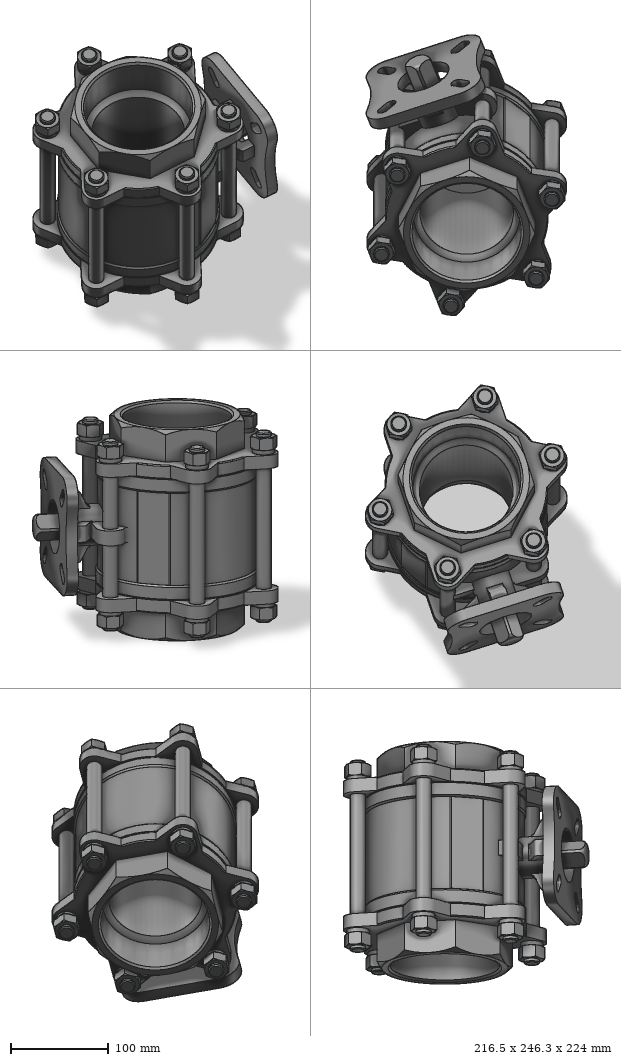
import cadquery as cq
import math


BODY_RADIUS = 82.0
COLLAR_RADIUS = 83.7
COLLAR_BEVEL_START = 50.7
COLLAR_BEVEL_END = 48.7
GROOVE_WIDTH = 1.2
GROOVE_DEPTH = 1.0
PAD_DISTANCE = 81.2
PAD_WIDTH = 33.5
PAD_DEPTH = 5.0
PAD_ANGLES = (30, 150)

HALF_LENGTH = 112.0
FLANGE_INNER = 64.8
FLANGE_OUTER = 78.8
FLANGE_BEVEL = 1.2
OCTAGON_FLATS = 130.0
OCTAGON_BEVEL_RADIUS = 65.0
OCTAGON_BEVEL_DROP = 4.5
BORE_RADIUS = 96.0 / 2
SOCKET_RADIUS = 54.7
SOCKET_MOUTH_RADIUS = 56.1
SOCKET_DEPTH = 39.5
SOCKET_SEAT_HEIGHT = 5.0
SOCKET_BEVEL = 2.2

ROD_COUNT = 6
ROD_CIRCLE_RADIUS = 186.5 / 2
ROD_RADIUS = 16.0 / 2
ROD_HALF_LENGTH = 100.5
ROD_BEVEL = 1.2
LUG_RADIUS = 15.0
LUG_FLANK_ANGLE = 30
LUG_ROOT_DISTANCE = 65.5
WASHER_RADIUS = 23.5 / 2
NUT_INNER = 83.2
NUT_OUTER = 96.5
NUT_FLATS = 24.1
NUT_BEVEL_DROP = 1.0

NECK_RADIUS = 21.5
NECK_TOP = 108.8
EAR_THICKNESS = 15.8
EAR_ROOT_FILLET = 1.5
EAR_BOTTOM = 67.7
SHORT_EAR_TOP = 87.5

PLATE_HALF_SIZE = 62.8
PLATE_BOTTOM = 118.0
PLATE_TOP = 130.0
PLATE_CORNER_RADIUS = 22.7
PLATE_WAIST_ANGLE = 14.5
PLATE_HOLE_RADIUS = 56.0 / 2
SLOT_WIDTH = 11.8
SLOT_INNER_RADIUS = 51.0
SLOT_OUTER_RADIUS = 62.5
LEG_WIDTH = 17.2
LEG_OUTER = 37.2
LEG_INNER = 26.3
LEG_INNER_FILLET = 2.0
LEG_HEEL = 104.1
LEG_ROOT = 95.8
LEG_ROOT_STEP = 2.0
LEG_OUTER_FILLET = 2.5

STEM_RADIUS = 14.0
STEM_FLATS = 22.0
STEM_TOP = 150.5
STEM_TIP_FILLET = 5.5


def polar(radius, degrees):
    angle = math.radians(degrees)
    return radius * math.cos(angle), radius * math.sin(angle)


def cylinder_z(radius, z_from, z_to):
    return cq.Workplane("XY").workplane(offset=z_from).circle(radius).extrude(z_to - z_from)


def revolve_z(profile):
    """Turn a closed (radius, z) profile about the Z axis."""
    return cq.Workplane("XZ").polyline(profile).close().revolve(360, (0, 0, 0), (0, 1, 0))


def along_y(y_from):
    """Sketch plane across the stem axis at the given Y, extruding toward +Y."""
    return cq.Workplane("ZX", origin=(0, y_from, 0)).transformed(rotate=(0, 0, 90))


def mirrored_pair(upper):
    return upper.union(upper.mirror("XY"))


def rod_positions():
    return [polar(ROD_CIRCLE_RADIUS, 360 / ROD_COUNT * i) for i in range(ROD_COUNT)]


def make_body():
    groove_radius = COLLAR_RADIUS - GROOVE_DEPTH
    collar_top = FLANGE_INNER - GROOVE_WIDTH
    body = mirrored_pair(revolve_z([
        (0, 0),
        (BODY_RADIUS, 0),
        (BODY_RADIUS, COLLAR_BEVEL_END),
        (COLLAR_RADIUS, COLLAR_BEVEL_START),
        (COLLAR_RADIUS, collar_top),
        (groove_radius, collar_top),
        (groove_radius, FLANGE_INNER),
        (0, FLANGE_INNER),
    ]))
    half_width = PAD_WIDTH / 2
    base_distance = PAD_DISTANCE - PAD_DEPTH
    sketch_plane = cq.Workplane("XY").workplane(offset=-COLLAR_BEVEL_END)
    raised = (
        sketch_plane
        .moveTo(base_distance, -half_width - PAD_DEPTH)
        .lineTo(PAD_DISTANCE, -half_width)
        .lineTo(PAD_DISTANCE, half_width)
        .lineTo(base_distance, half_width + PAD_DEPTH)
        .close()
        .extrude(2 * COLLAR_BEVEL_END)
    )
    removed = (
        sketch_plane.center(PAD_DISTANCE + PAD_DEPTH / 2, 0)
        .rect(PAD_DEPTH, PAD_WIDTH)
        .extrude(2 * COLLAR_BEVEL_END)
    )
    for angle in PAD_ANGLES:
        body = body.union(raised.rotate((0, 0, 0), (0, 0, 1), angle))
        body = body.cut(removed.rotate((0, 0, 0), (0, 0, 1), angle))
    return body


def make_lug():
    """Lug on the +X side: round tip with two straight flanks running into the flange."""
    tip_x, tip_y = polar(LUG_RADIUS, 90 - LUG_FLANK_ANGLE)
    tip_x += ROD_CIRCLE_RADIUS
    root_x = LUG_ROOT_DISTANCE
    root_y = tip_y + (tip_x - root_x) * math.tan(math.radians(LUG_FLANK_ANGLE))
    return (
        cq.Workplane("XY").workplane(offset=FLANGE_INNER)
        .moveTo(root_x, -root_y)
        .lineTo(tip_x, -tip_y)
        .threePointArc((ROD_CIRCLE_RADIUS + LUG_RADIUS, 0), (tip_x, tip_y))
        .lineTo(root_x, root_y)
        .lineTo(0, 0)
        .close()
        .extrude(FLANGE_OUTER - FLANGE_INNER)
    )


def make_end_piece():
    flange = cylinder_z(COLLAR_RADIUS, FLANGE_INNER, FLANGE_OUTER).faces(">Z").chamfer(FLANGE_BEVEL)
    lug = make_lug()
    for i in range(ROD_COUNT):
        flange = flange.union(lug.rotate((0, 0, 0), (0, 0, 1), 360 / ROD_COUNT * i))

    corner_radius = OCTAGON_FLATS / 2 / math.cos(math.pi / 8)
    octagon = (
        cq.Workplane("XY").workplane(offset=FLANGE_INNER)
        .transformed(rotate=(0, 0, 22.5))
        .polygon(8, 2 * corner_radius)
        .extrude(HALF_LENGTH - FLANGE_INNER)
    )
    bevel_limit = revolve_z([
        (0, FLANGE_INNER),
        (corner_radius, FLANGE_INNER),
        (corner_radius, HALF_LENGTH - OCTAGON_BEVEL_DROP),
        (OCTAGON_BEVEL_RADIUS, HALF_LENGTH),
        (0, HALF_LENGTH),
    ])
    return flange.union(octagon.intersect(bevel_limit))


def make_socket():
    """Tapered pipe socket with a bevelled mouth and a conical seat down to the bore."""
    return revolve_z([
        (0, HALF_LENGTH - SOCKET_DEPTH - SOCKET_SEAT_HEIGHT),
        (BORE_RADIUS, HALF_LENGTH - SOCKET_DEPTH - SOCKET_SEAT_HEIGHT),
        (SOCKET_RADIUS, HALF_LENGTH - SOCKET_DEPTH),
        (SOCKET_MOUTH_RADIUS, HALF_LENGTH - SOCKET_BEVEL),
        (SOCKET_MOUTH_RADIUS + SOCKET_BEVEL, HALF_LENGTH),
        (0, HALF_LENGTH),
    ])


def make_nut():
    flat_radius = NUT_FLATS / 2
    corner_radius = flat_radius / math.cos(math.pi / 6)
    hexagon = (
        cq.Workplane("XY").workplane(offset=NUT_INNER)
        .transformed(rotate=(0, 0, 30))
        .polygon(6, 2 * corner_radius)
        .extrude(NUT_OUTER - NUT_INNER)
    )
    bevel_limit = revolve_z([
        (0, NUT_INNER),
        (flat_radius, NUT_INNER),
        (corner_radius, NUT_INNER + NUT_BEVEL_DROP),
        (corner_radius, NUT_OUTER - NUT_BEVEL_DROP),
        (flat_radius, NUT_OUTER),
        (0, NUT_OUTER),
    ])
    washer = cylinder_z(WASHER_RADIUS, FLANGE_OUTER, NUT_INNER)
    return hexagon.intersect(bevel_limit).union(washer)


def make_tie_rod():
    rod = cylinder_z(ROD_RADIUS, -ROD_HALF_LENGTH, ROD_HALF_LENGTH).faces("<Z or >Z").chamfer(ROD_BEVEL)
    return rod.union(mirrored_pair(make_nut()))


def make_neck():
    return along_y(0).circle(NECK_RADIUS).extrude(NECK_TOP)


def make_ears():
    """Full ear around the rod on the -X side, shorter one reaching the rod on the +X side."""
    rod_x, rod_y = polar(ROD_CIRCLE_RADIUS, 60)
    sketch_plane = cq.Workplane("XY").workplane(offset=-EAR_THICKNESS / 2)
    ring = sketch_plane.center(-rod_x, rod_y).circle(LUG_RADIUS).extrude(EAR_THICKNESS)
    full_arm = (
        cq.Workplane("XY").workplane(offset=-EAR_THICKNESS / 2)
        .moveTo(0, EAR_BOTTOM)
        .lineTo(-rod_x, EAR_BOTTOM)
        .lineTo(-rod_x, rod_y + LUG_RADIUS)
        .lineTo(0, rod_y + LUG_RADIUS)
        .close()
        .extrude(EAR_THICKNESS)
    )
    short_ear = (
        cq.Workplane("XY").workplane(offset=-EAR_THICKNESS / 2)
        .moveTo(0, EAR_BOTTOM)
        .lineTo(rod_x, EAR_BOTTOM)
        .lineTo(rod_x, SHORT_EAR_TOP)
        .lineTo(0, SHORT_EAR_TOP)
        .close()
        .extrude(EAR_THICKNESS)
    )
    return ring.union(full_arm).union(short_ear)


def fillet_ear_root(housing):
    """Round the corner where the underside of the full ear's ring meets the body."""
    cosine = (BODY_RADIUS**2 + ROD_CIRCLE_RADIUS**2 - LUG_RADIUS**2) / (2 * BODY_RADIUS * ROD_CIRCLE_RADIUS)
    root_x, root_y = polar(BODY_RADIUS, 120 + math.degrees(math.acos(cosine)))
    root_edge = cq.NearestToPointSelector((root_x, root_y, 0))
    return housing.edges("|Z").edges(root_edge).fillet(EAR_ROOT_FILLET)


def make_plate():
    corner_centre = PLATE_HALF_SIZE - PLATE_CORNER_RADIUS
    dx, dz = polar(PLATE_CORNER_RADIUS, -PLATE_WAIST_ANGLE)
    diagonal = PLATE_CORNER_RADIUS * math.sqrt(0.5)
    side_x = corner_centre + dx
    side_z = corner_centre + dz
    centre_distance = corner_centre / math.sin(math.radians(PLATE_WAIST_ANGLE))
    waist_radius = centre_distance - PLATE_CORNER_RADIUS
    waist_x = corner_centre + centre_distance * math.cos(math.radians(PLATE_WAIST_ANGLE)) - waist_radius
    arc_mid = corner_centre + diagonal
    thickness = PLATE_TOP - PLATE_BOTTOM

    plate = (
        along_y(PLATE_BOTTOM)
        .moveTo(-corner_centre, PLATE_HALF_SIZE)
        .lineTo(corner_centre, PLATE_HALF_SIZE)
        .threePointArc((arc_mid, arc_mid), (side_x, side_z))
        .threePointArc((waist_x, 0), (side_x, -side_z))
        .threePointArc((arc_mid, -arc_mid), (corner_centre, -PLATE_HALF_SIZE))
        .lineTo(-corner_centre, -PLATE_HALF_SIZE)
        .threePointArc((-arc_mid, -arc_mid), (-side_x, -side_z))
        .threePointArc((-waist_x, 0), (-side_x, side_z))
        .threePointArc((-arc_mid, arc_mid), (-corner_centre, PLATE_HALF_SIZE))
        .close()
        .extrude(thickness)
    )
    plate = plate.cut(along_y(PLATE_BOTTOM).circle(PLATE_HOLE_RADIUS).extrude(thickness))
    slot = (
        along_y(PLATE_BOTTOM)
        .center((SLOT_INNER_RADIUS + SLOT_OUTER_RADIUS) / 2, 0)
        .slot2D(SLOT_OUTER_RADIUS - SLOT_INNER_RADIUS + SLOT_WIDTH, SLOT_WIDTH)
        .extrude(thickness)
    )
    for angle in (45, 135, 225, 315):
        plate = plate.cut(slot.rotate((0, 0, 0), (0, 1, 0), angle))
    return plate


def make_legs():
    """Four angled legs joining the neck to the mounting plate."""
    leg = (
        cq.Workplane("XY").workplane(offset=-LEG_WIDTH / 2)
        .moveTo(0, LEG_ROOT - LEG_ROOT_STEP)
        .lineTo(NECK_RADIUS, LEG_ROOT - LEG_ROOT_STEP)
        .lineTo(NECK_RADIUS, LEG_ROOT)
        .lineTo(LEG_OUTER, LEG_HEEL)
        .lineTo(LEG_OUTER, PLATE_BOTTOM)
        .lineTo(LEG_INNER, PLATE_BOTTOM)
        .lineTo(LEG_INNER, NECK_TOP)
        .lineTo(0, NECK_TOP)
        .close()
        .extrude(LEG_WIDTH)
    )
    for corner, radius in (
        ((NECK_RADIUS, LEG_ROOT, 0), LEG_OUTER_FILLET),
        ((LEG_OUTER, LEG_HEEL, 0), LEG_OUTER_FILLET),
        ((LEG_INNER, NECK_TOP, 0), LEG_INNER_FILLET),
    ):
        leg = leg.edges(cq.NearestToPointSelector(corner)).fillet(radius)
    legs = leg
    for angle in (90, 180, 270):
        legs = legs.union(leg.rotate((0, 0, 0), (0, 1, 0), angle))
    return legs


def make_stem():
    """Square drive turned on edge, with its corners rounded to the stem diameter."""
    shaft = along_y(0).circle(STEM_RADIUS).extrude(STEM_TOP).faces(">Y").edges().fillet(STEM_TIP_FILLET)
    square = along_y(0).transformed(rotate=(0, 0, 45)).rect(STEM_FLATS, STEM_FLATS).extrude(STEM_TOP)
    return shaft.intersect(square)


result = make_body().union(make_neck()).union(make_ears())
result = fillet_ear_root(result)
result = result.union(mirrored_pair(make_end_piece()))
result = result.union(make_legs()).union(make_plate()).union(make_stem())

result = result.cut(cylinder_z(BORE_RADIUS, -HALF_LENGTH, HALF_LENGTH))
result = result.cut(mirrored_pair(make_socket()))

tie_rod = make_tie_rod()
for x, y in rod_positions():
    result = result.union(tie_rod.translate((x, y, 0)))